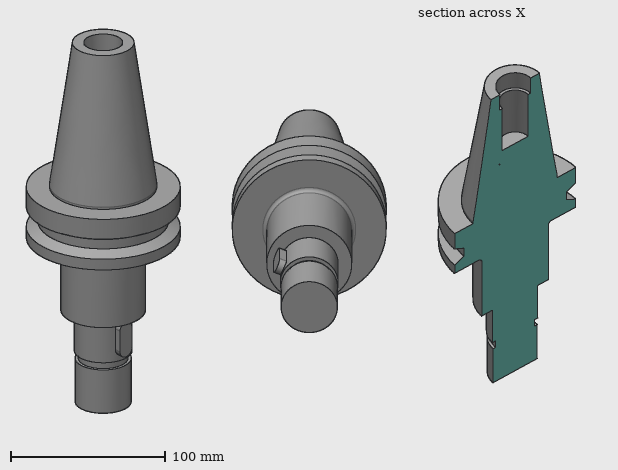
import cadquery as cq

total_height = 257.8

spigot_top = 31.2
neck_top = 36.5
arbor_top = 66.0
flange_bottom = 118.0
flange_top = 154.5
gauge_height = 156.0

spigot_radius = 18.3
neck_radius = 16.2
arbor_radius = 18.8
body_radius = 27.5
flange_radius = 50.0
gauge_diameter = 69.9
gauge_radius = gauge_diameter / 2
taper_ratio = 7 / 24
taper_top_radius = gauge_radius - (total_height - gauge_height) * taper_ratio / 2

groove_radius = 42.5
groove_lower_edge = 125.8
groove_floor_bottom = 129.7
groove_floor_top = 136.5
groove_upper_edge = 140.2

body_fillet = 2.5

bore_radius = 12.6
bore_depth = 13.7
inner_bore_radius = 10.5
inner_bore_depth = 51.5

key_width = 10.0
key_length = 25.0
key_bottom = 40.2
key_outer_face = 23.0
key_inner_face = 13.0


def make_turned_body():
    """Revolve the stepped outline, including the fillet under the flange."""
    profile = (
        cq.Workplane("XZ")
        .moveTo(0, 0)
        .lineTo(spigot_radius, 0)
        .lineTo(spigot_radius, spigot_top)
        .lineTo(neck_radius, spigot_top)
        .lineTo(neck_radius, neck_top)
        .lineTo(arbor_radius, neck_top)
        .lineTo(arbor_radius, arbor_top)
        .lineTo(body_radius, arbor_top)
        .lineTo(body_radius, flange_bottom - body_fillet)
        .radiusArc((body_radius + body_fillet, flange_bottom), body_fillet)
        .lineTo(flange_radius, flange_bottom)
        .lineTo(flange_radius, groove_lower_edge)
        .lineTo(groove_radius, groove_floor_bottom)
        .lineTo(groove_radius, groove_floor_top)
        .lineTo(flange_radius, groove_upper_edge)
        .lineTo(flange_radius, flange_top)
        .lineTo(gauge_radius, flange_top)
        .lineTo(gauge_radius, gauge_height)
        .lineTo(taper_top_radius, total_height)
        .lineTo(0, total_height)
        .close()
    )
    return profile.revolve(360, (0, 0, 0), (0, 1, 0))


def make_blind_bore(radius, depth):
    """Cylinder reaching down from the small end of the taper."""
    return cq.Workplane("XY").workplane(offset=total_height - depth).circle(radius).extrude(depth)


def make_key():
    """Obround key standing along Z and projecting along +X."""
    return (
        cq.Workplane("YZ")
        .workplane(offset=key_inner_face)
        .center(0, key_bottom + key_length / 2)
        .slot2D(key_length, key_width, 90)
        .extrude(key_outer_face - key_inner_face)
    )


result = (
    make_turned_body()
    .union(make_key())
    .cut(make_blind_bore(bore_radius, bore_depth))
    .cut(make_blind_bore(inner_bore_radius, inner_bore_depth))
)